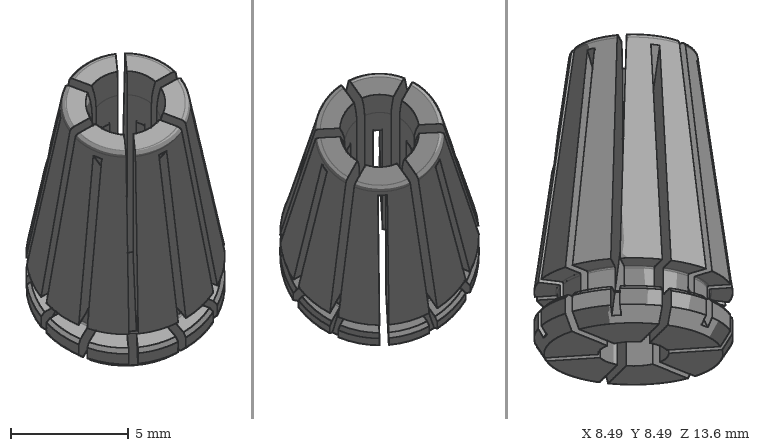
import cadquery as cq
import math

height = 13.6
max_radius = 4.25
bore_radius = 1.5

collar_bottom_radius = 3.82
collar_bevel_angle = 32.0
collar_height = 1.6
collar_top_chamfer = 0.18

groove_radius = 3.25
groove_top = 2.8
groove_fillet = 0.08

cone_half_angle = 8.0
cone_top_fillet = 0.22

flare_depth = 1.4
flare_radius = 5.0

slots_per_end = 6
slot_width = 0.4
slot_pitch = 360.0 / slots_per_end
clearance = 1.0

top_slot_inner_z = 4.95
top_slot_outer_radius = 3.99
top_slot_outer_z = 0.32
bottom_slot_inner_z = 10.32
bottom_slot_outer_z = 13.1


def cone_radius(z):
    """Radius of the clamping cone at height z."""
    return max_radius - (z - groove_top) * math.tan(math.radians(cone_half_angle))


def collet_body():
    """Solid of revolution: collar, groove and clamping cone."""
    bevel_height = (max_radius - collar_bottom_radius) / math.tan(math.radians(collar_bevel_angle))
    profile = (
        cq.Workplane("XZ")
        .lineTo(collar_bottom_radius, 0)
        .lineTo(max_radius, bevel_height)
        .lineTo(max_radius, collar_height - collar_top_chamfer)
        .lineTo(max_radius - collar_top_chamfer, collar_height)
        .lineTo(groove_radius, collar_height)
        .lineTo(groove_radius, groove_top)
        .lineTo(max_radius, groove_top)
        .lineTo(cone_radius(height), height)
        .lineTo(0, height)
        .close()
    )
    body = profile.revolve(360, (0, 0, 0), (0, 1, 0))
    body = body.faces(">Z").edges().fillet(cone_top_fillet)
    groove_band = cq.selectors.BoxSelector(
        (-max_radius, -max_radius, collar_height - groove_fillet),
        (max_radius, max_radius, groove_top + groove_fillet),
    )
    wall_edges = cq.selectors.RadiusNthSelector(0)
    return body.edges(groove_band).edges("%CIRCLE").edges(wall_edges).fillet(groove_fillet)


def flared_bore():
    """Cutter for the through bore and its rounded mouth."""
    arc_center_radius = bore_radius + flare_radius
    arc_start_z = height - flare_depth

    def flare_point(z):
        rise = z - arc_start_z
        return (arc_center_radius - math.sqrt(flare_radius**2 - rise**2), z)

    mouth = flare_point(height)
    return (
        cq.Workplane("XZ")
        .lineTo(bore_radius, 0)
        .lineTo(bore_radius, arc_start_z)
        .threePointArc(flare_point(height - flare_depth / 2), mouth)
        .lineTo(0, height)
        .close()
        .revolve(360, (0, 0, 0), (0, 1, 0))
    )


def slot_cutter(inner_end, outer_end, open_z):
    """Radial slot along +X, open at open_z and closed by the line through inner_end and outer_end."""
    slope = (outer_end[1] - inner_end[1]) / (outer_end[0] - inner_end[0])
    outside = max_radius + clearance
    axis_z = inner_end[1] - slope * inner_end[0]
    outside_z = inner_end[1] + slope * (outside - inner_end[0])
    return (
        cq.Workplane("XZ")
        .polyline([(0, axis_z), (outside, outside_z), (outside, open_z), (0, open_z)])
        .close()
        .extrude(slot_width / 2, both=True)
    )


def cut_slots(body, cutter, first_angle):
    """Cut a full ring of equally spaced slots."""
    for index in range(slots_per_end):
        angle = first_angle + index * slot_pitch
        body = body.cut(cutter.rotate((0, 0, 0), (0, 0, 1), angle))
    return body


top_slot = slot_cutter(
    (bore_radius, top_slot_inner_z),
    (top_slot_outer_radius, top_slot_outer_z),
    height + clearance,
)
bottom_slot = slot_cutter(
    (bore_radius, bottom_slot_inner_z),
    (cone_radius(bottom_slot_outer_z), bottom_slot_outer_z),
    -clearance,
)

collet = collet_body().cut(flared_bore())
collet = cut_slots(collet, bottom_slot, 0)
result = cut_slots(collet, top_slot, slot_pitch / 2)